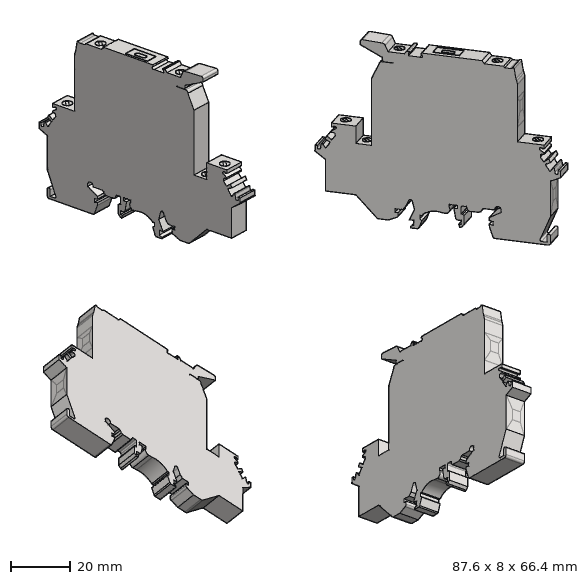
import cadquery as cq
length = 87.6
thickness = 8.0

tower_left = 15.3
tower_right = 67.4
tower_top = 64.2
screw_deck = 63.2
tower_groove = 62.6

left_deck = 36.3
left_deck_end = 5.8
right_deck = 34.6
right_deck_start = 72.9
right_deck_end = 81.6
right_notch_floor = 28.3
left_wall = 3.5
left_wall_bottom = 10.6
left_wall_top = 23.5
right_wall = 83.75
right_underside = 9.55

clip_reach = 5.8
clip_lip_drop = 10.5
clip_root = 3.5
clip_root_drop = 12.3
clip_seat_inset = 2.6
clip_seat_drop = 4.4
clip_seat_reach = 1.75

rail_ceiling = 10.3
rail_step = 8.8
latch_base = 1.8

terminal_offset = -0.5
mark_depth = 0.2
screw_radius = 1.8
screw_slot_width = 1.05
screw_slot_angle = -45
funnel_width = 7.7
funnel_mouth_width = 3.4
funnel_mouth_height = 4.0
funnel_depth = 0.1
lower_funnel_mouth = 17.1
upper_funnel_bottom = 41.5
upper_funnel_top = 52.0
upper_funnel_mouth = 47.9
window_center = 41.4
window_length = 9.5
window_width = 4.7
window_slot_length = 4.55
window_slot_width = 1.8
window_slot_corner = 0.6


def lines(path, *points):
    """Continue the path with straight edges."""
    for point in points:
        path = path.lineTo(*point)
    return path


def tower_outline(path):
    """Left wall, top and right wall of the tower, with the lever at its right end."""
    path = lines(path, (tower_left, left_deck), (tower_left, 57.1))
    path = path.threePointArc((15.4, 57.7), (15.6, 58.3))
    path = lines(path, (15.85, 59.1), (16.5, 62.7))
    path = path.threePointArc((16.8, 63.1), (17.2, 62.9))
    path = path.tangentArcPoint((17.9, tower_groove), relative=False)
    path = lines(
        path,
        (19.8, tower_groove),
        (20.2, screw_deck),
        (27.1, screw_deck),
        (27.95, tower_top),
        (49.5, tower_top),
        (49.8, 63.7),
        (49.4, 63.5),
    )
    path = path.threePointArc((49.3, 62.7), (50.1, tower_groove))
    path = lines(path, (54.1, tower_groove), (54.1, 63.6), (53.6, 63.8))
    path = path.threePointArc((53.8, 64.1), (54.1, tower_top))
    path = lines(path, (54.75, tower_top), (55.6, screw_deck), (61.4, screw_deck))
    path = lines(path, (62.5, 65.35))
    path = path.threePointArc((62.9, 65.9), (63.6, 66.05))
    path = lines(path, (70.5, 66.4))
    path = path.threePointArc((71.1, 66.1), (71.4, 65.5))
    path = lines(path, (71.4, 64.5), (63.5, 60.8), (63.5, 59.8), (63.0, 59.3))
    path = lines(path, (59.7, 59.3), (59.7, 59.2), (63.8, 59.2))
    path = path.threePointArc((64.5, 58.9), (64.7, 58.2))
    return lines(path, (tower_right, 52.65), (tower_right, right_notch_floor))


def right_block_outline(path):
    """Right terminal block down to its underside, without its clip."""
    return lines(
        path,
        (right_deck_start, right_notch_floor),
        (right_deck_start, right_deck),
        (right_deck_end - clip_seat_inset, right_deck),
        (right_deck_end - clip_seat_inset, right_deck - clip_seat_drop),
        (right_deck_end + clip_seat_reach, right_deck - clip_lip_drop),
        (right_deck_end + clip_reach, right_deck - clip_lip_drop),
        (length, 23.7),
        (right_wall, 21.0),
        (right_wall, right_underside),
        (right_deck_start, right_underside),
    )


def rail_outline(path):
    """Underside from right to left: latch foot, two spring hooks and the rail groove."""
    path = lines(path, (65.6, 2.3))
    path = path.threePointArc((65.2, 1.9), (64.6, latch_base))
    path = lines(path, (61.3, latch_base), (58.4, 3.15))
    path = path.threePointArc((58.0, 3.4), (57.8, 3.85))
    path = lines(path, (57.8, 5.0), (58.95, 5.0), (58.95, 6.3), (56.2, 6.3), (55.2, 7.45))
    path = lines(path, (54.1, 9.8))
    path = path.threePointArc((53.5, rail_ceiling), (52.8, 9.8))
    path = lines(path, (52.0, 6.9), (53.9, 2.9), (52.3, 2.9), (52.3, 1.1), (53.35, 0.5), (53.35, 0))
    path = lines(path, (50.9, 0), (50.5, 0.35), (49.4, 3.15), (50.1, 3.8), (50.1, 5.0), (49.4, 5.0))
    path = path.threePointArc((46.25, 6.9), (42.5, 7.0))
    path = lines(path, (40.8, 6.8))
    path = path.threePointArc((39.9, 7.4), (39.4, 8.8))
    path = lines(path, (39.7, 9.55), (39.7, rail_ceiling), (36.7, rail_ceiling))
    path = lines(path, (36.7, 9.2), (38.0, 9.2), (37.4, 5.8))
    path = path.threePointArc((37.1, 5.25), (36.6, 5.0))
    path = lines(path, (35.4, 5.0), (35.4, 3.6), (36.3, 3.6), (35.9, 2.4), (35.2, 2.6), (34.3, 3.6))
    path = lines(path, (34.3, 7.0), (34.8, 7.4), (35.4, 7.4), (35.4, 9.8))
    path = path.threePointArc((35.2, 10.2), (34.9, rail_ceiling))
    path = lines(path, (33.55, rail_ceiling), (33.0, 9.1))
    path = path.threePointArc((32.85, 8.85), (32.6, rail_step))
    path = lines(path, (29.1, rail_step), (28.4, 9.1), (27.95, 10.0), (27.3, rail_ceiling))
    path = lines(path, (23.4, rail_ceiling))
    path = path.threePointArc((22.25, 11.7), (21.1, 10.7))
    path = lines(path, (21.1, 9.8), (25.4, 7.4), (25.4, 6.3), (24.0, 6.05), (24.0, 4.7), (25.4, 5.0))
    path = lines(path, (25.3, 3.9), (24.1, 0.5))
    return path.threePointArc((23.8, 0.2), (23.3, 0))


def left_block_outline(path):
    """Left foot with its upturned lip and the left terminal block, without its clip."""
    path = lines(path, (4.4, 0))
    path = path.threePointArc((3.8, 0.3), (left_wall, 1.0))
    path = lines(path, (left_wall, 3.5))
    path = path.threePointArc((4.2, 4.0), (4.8, 3.5))
    path = lines(path, (4.8, 1.05), (6.75, 1.05))
    path = path.threePointArc((7.2, 1.3), (7.2, 1.9))
    return lines(
        path,
        (left_wall, left_wall_bottom),
        (left_wall, left_wall_top),
        (0, 25.05),
        (left_deck_end - clip_reach, left_deck - clip_lip_drop),
        (left_deck_end - clip_seat_reach, left_deck - clip_lip_drop),
        (left_deck_end + clip_seat_inset, left_deck - clip_seat_drop),
        (left_deck_end + clip_seat_inset, left_deck),
    )


def housing():
    path = cq.Workplane("XZ").moveTo(left_deck_end + clip_seat_inset, left_deck)
    path = tower_outline(path)
    path = right_block_outline(path)
    path = rail_outline(path)
    path = left_block_outline(path)
    return path.close().extrude(thickness / 2, both=True)


def marker_clip():
    """Toothed clip pointing to +X, with the end of its deck at the origin."""
    path = cq.Workplane("XZ").moveTo(-clip_root, 0).lineTo(0, 0)
    path = lines(path, (0, -1.4), (-0.6, -1.4), (-0.9, -1.1), (-1.4, -1.1))
    path = path.threePointArc((-1.75, -1.5), (-1.5, -1.9))
    path = lines(path, (0, -2.9), (0, -3.4), (-0.9, -3.4))
    path = path.threePointArc((-1.2, -3.6), (-1.4, -3.9))
    path = lines(path, (-1.4, -4.55))
    path = lines(path, (-0.1, -6.1), (1.6, -4.8), (2.3, -6.05), (0.4, -7.0))
    path = lines(path, (2.0, -9.4), (3.0, -8.15))
    path = path.threePointArc((3.3, -7.9), (3.6, -8.15))
    path = lines(path, (3.85, -9.4))
    path = path.threePointArc((4.0, -9.9), (4.5, -10.1))
    path = path.threePointArc((4.8, -9.9), (4.9, -9.6))
    path = lines(path, (4.9, -8.8), (clip_reach, -8.8), (clip_reach, -clip_lip_drop))
    path = lines(path, (2.1, -clip_root_drop), (-clip_root, -clip_root_drop))
    return path.close().extrude(thickness / 2, both=True)


def screw_mark(x, z):
    """Recess for a round screw head, with the diagonal driver slot cut deeper."""
    head = cq.Workplane("XY").circle(screw_radius).extrude(-mark_depth)
    slot = (
        cq.Workplane("XY")
        .rect(2 * screw_radius, screw_slot_width)
        .extrude(-2 * mark_depth)
        .rotate((0, 0, 0), (0, 0, 1), screw_slot_angle)
    )
    slot = slot.intersect(cq.Workplane("XY").circle(screw_radius).extrude(-2 * mark_depth))
    return head.union(slot).translate((x, terminal_offset, z))


def wire_funnel(x, bottom, top, mouth_center):
    """Very flat funnel in a wall facing -X, narrowing to a rectangular wire mouth."""
    return (
        cq.Workplane("YZ", origin=(x, 0, 0))
        .center(0, (bottom + top) / 2)
        .rect(funnel_width, top - bottom)
        .workplane(offset=funnel_depth)
        .center(terminal_offset, mouth_center - (bottom + top) / 2)
        .rect(funnel_mouth_width, funnel_mouth_height)
        .loft(ruled=True)
    )


def label_window():
    """Rectangular recess on the tower top with a deeper rounded slot in its floor."""
    frame = cq.Workplane("XY").rect(window_length, window_width).extrude(-mark_depth)
    slot = (
        cq.Workplane("XY")
        .rect(window_slot_length, window_slot_width)
        .extrude(-2 * mark_depth)
        .edges("|Z")
        .fillet(window_slot_corner)
    )
    return frame.union(slot).translate((window_center, terminal_offset, tower_top))


right_clip = marker_clip()
left_clip = right_clip.mirror("YZ")

result = (
    housing()
    .union(right_clip.translate((right_deck_end, 0, right_deck)))
    .union(left_clip.translate((left_deck_end, 0, left_deck)))
)

screws = (
    (9.5, left_deck),
    (23.9, screw_deck),
    (58.9, screw_deck),
    (70.2, right_notch_floor),
    (78.0, right_deck),
)
for screw_x, screw_z in screws:
    result = result.cut(screw_mark(screw_x, screw_z))

lower_funnel = wire_funnel(left_wall, left_wall_bottom, left_wall_top, lower_funnel_mouth)
upper_funnel = wire_funnel(tower_left, upper_funnel_bottom, upper_funnel_top, upper_funnel_mouth)
result = result.cut(lower_funnel).cut(upper_funnel)
result = result.cut(label_window())